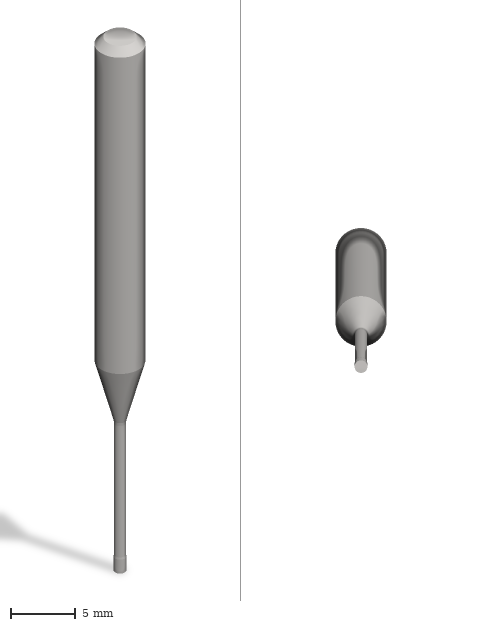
import cadquery as cq

total_length = 50.0
shank_radius = 2.0

end_chamfer_width = 0.7
end_chamfer_height = 0.65

cutter_length = 1.3
neck_start = 1.5
neck_end = 13.8
cone_start = 14.1
cone_end = 19.7

cutter_radius = 0.5
neck_radius = 0.475


def make_cutter():
    """Plain cylindrical cutting head at the tip."""
    return cq.Workplane("XY").circle(cutter_radius).extrude(cutter_length)


def make_holder():
    """Shank, cone and relieved neck, revolved about the tool axis."""
    return (
        cq.Workplane("XZ")
        .moveTo(0, cutter_length)
        .lineTo(cutter_radius, cutter_length)
        .lineTo(neck_radius, neck_start)
        .lineTo(neck_radius, neck_end)
        .lineTo(cutter_radius, cone_start)
        .lineTo(shank_radius, cone_end)
        .lineTo(shank_radius, total_length - end_chamfer_height)
        .lineTo(shank_radius - end_chamfer_width, total_length)
        .lineTo(0, total_length)
        .close()
        .revolve(360, (0, 0, 0), (0, 1, 0))
    )


cutter = make_cutter()
holder = make_holder()

result = cq.Compound.makeCompound([cutter.val(), holder.val()])